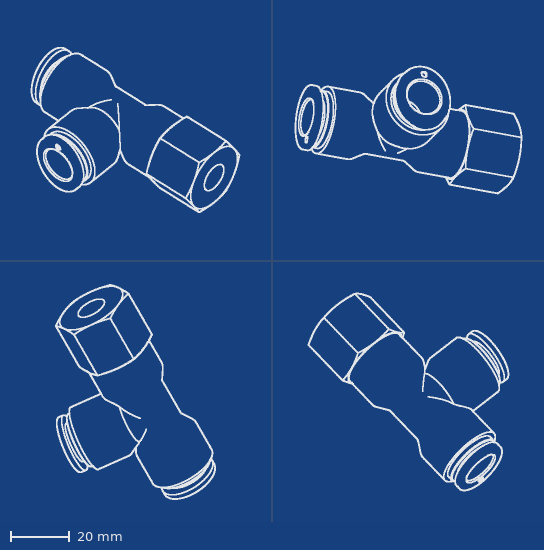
import cadquery as cq
import math


shoulder_diameter = 23.2
neck_diameter = 17.4
port_face = 24.7
shoulder_start = 12.6
taper_angle = 30.0
blend_radius = 2.0
flow_bore = 10.0

sleeve_diameter = 19.6
sleeve_protrusion = 2.0
sleeve_edge_chamfer = 0.2
seat_bottom = 13.4
collet_neck_diameter = 14.2
collet_face = 30.55
button_width = 19.6
button_height = 22.8
button_thickness = 2.1
button_edge_radius = 0.45
tube_bore = 12.2
tube_bore_mouth = 13.1
mouth_depth = 0.6
straight_bore_depth = 4.15
flare_end_depth = 6.2
flared_bore = 12.6
mark_diameter = 2.0
mark_depth = 0.75
mark_offset = 8.5

nut_sides = 6
nut_across_flats = 24.0
nut_end = 43.75
nut_chamfer_angle = 20.0

taper_length = (shoulder_diameter - neck_diameter) / 2 / math.tan(math.radians(taper_angle))
neck_end = shoulder_start - taper_length


def turned(profile):
    """Revolve a closed (x, radius) profile about the X axis."""
    return cq.Workplane("XY").polyline(profile).close().revolve(360, (0, 0, 0), (1, 0, 0))


def rod(diameter, start, end):
    """Cylinder on the X axis between two X positions."""
    return cq.Workplane("YZ", origin=(start, 0, 0)).circle(diameter / 2).extrude(end - start)


def to_run_port(shape):
    """Turn a shape half a turn about the run, which brings its top to the bottom."""
    return shape.rotate((0, 0, 0), (1, 0, 0), 180)


def to_branch(shape):
    """Turn a shape from the -X arm of the run to the branch, keeping its top up."""
    return shape.rotate((0, 0, 0), (0, 0, 1), 90)


def blend_edges(arm, positions):
    """Round the circular edges centred at these X positions on the axis."""
    margin = 0.1
    for x in positions:
        near = (x - margin, -margin, -margin)
        far = (x + margin, margin, margin)
        arm = arm.edges(cq.selectors.BoxSelector(near, far)).fillet(blend_radius)
    return arm


def make_tee():
    """Run and branch of equal profile, with a flow bore and a recess in both push-in ports."""
    left_profile = [
        (-port_face, 0),
        (-port_face, shoulder_diameter / 2),
        (-shoulder_start, shoulder_diameter / 2),
        (-neck_end, neck_diameter / 2),
    ]
    right_profile = [(-x, radius) for x, radius in reversed(left_profile)]

    run = turned(left_profile + right_profile)
    run = blend_edges(run, (-shoulder_start, -neck_end, neck_end, shoulder_start))
    branch = turned(left_profile + [(0, neck_diameter / 2), (0, 0)])
    branch = blend_edges(branch, (-shoulder_start,))

    recess = rod(sleeve_diameter, -port_face, -seat_bottom)
    run_bore = rod(flow_bore, -port_face, port_face)
    branch_bore = rod(flow_bore, -port_face, 0)

    tee = run.union(to_branch(branch))
    tee = tee.cut(run_bore).cut(to_branch(branch_bore))
    return tee.cut(recess).cut(to_branch(recess))


def make_sleeve():
    """Retaining sleeve in the -X port, standing out of the tee body."""
    sleeve_face = -port_face - sleeve_protrusion
    sleeve = rod(sleeve_diameter, sleeve_face, -seat_bottom).faces("<X").chamfer(sleeve_edge_chamfer)
    return sleeve.cut(rod(collet_neck_diameter, sleeve_face, -seat_bottom))


def make_collet():
    """Release collet in the -X port: an elliptical button on a round neck, bored for the tube."""
    button = (
        cq.Workplane("YZ", origin=(-collet_face, 0, 0))
        .ellipse(button_width / 2, button_height / 2)
        .extrude(button_thickness)
        .faces("<X")
        .fillet(button_edge_radius)
    )
    collet = button.union(rod(collet_neck_diameter, -collet_face + button_thickness, -seat_bottom))
    bore = turned([
        (-collet_face, 0),
        (-collet_face, tube_bore_mouth / 2),
        (-collet_face + mouth_depth, tube_bore / 2),
        (-collet_face + straight_bore_depth, tube_bore / 2),
        (-collet_face + flare_end_depth, flared_bore / 2),
        (-seat_bottom, flared_bore / 2),
        (-seat_bottom, 0),
    ])
    mark = rod(mark_diameter, -collet_face, -collet_face + mark_depth).translate((0, 0, mark_offset))
    return collet.cut(bore).cut(mark)


def make_nut():
    """Hexagon nut against the +X end of the tee body, corners at +Y and -Y, chamfered at both ends."""
    flat_radius = nut_across_flats / 2
    corner_radius = flat_radius / math.cos(math.radians(180 / nut_sides))
    chamfer_length = (corner_radius - flat_radius) * math.tan(math.radians(nut_chamfer_angle))
    hexagon = (
        cq.Workplane("YZ", origin=(port_face, 0, 0))
        .polygon(nut_sides, 2 * corner_radius)
        .extrude(nut_end - port_face)
    )
    chamfer_envelope = turned([
        (port_face, 0),
        (port_face, flat_radius),
        (port_face + chamfer_length, corner_radius),
        (nut_end - chamfer_length, corner_radius),
        (nut_end, flat_radius),
        (nut_end, 0),
    ])
    return hexagon.intersect(chamfer_envelope).cut(rod(flow_bore, port_face, nut_end))


tee = make_tee()
nut = make_nut()

sleeves = []
collets = []
for to_port in (to_run_port, to_branch):
    sleeves.append(to_port(make_sleeve()).val())
    collets.append(to_port(make_collet()).val())

result = cq.Compound.makeCompound([tee.val(), nut.val(), *sleeves, *collets])